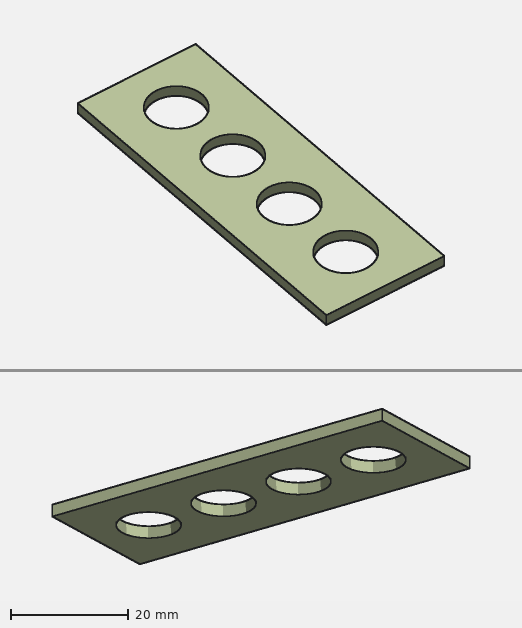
import cadquery as cq

length = 69.85
width = 25.4
thickness = 2.25

hole_count = 4
hole_diameter = 11.1
hole_pitch = 15.85

plate = cq.Workplane("XY").box(length, width, thickness)

result = (
    plate.faces(">Z")
    .workplane()
    .rarray(hole_pitch, width, hole_count, 1)
    .hole(hole_diameter)
)